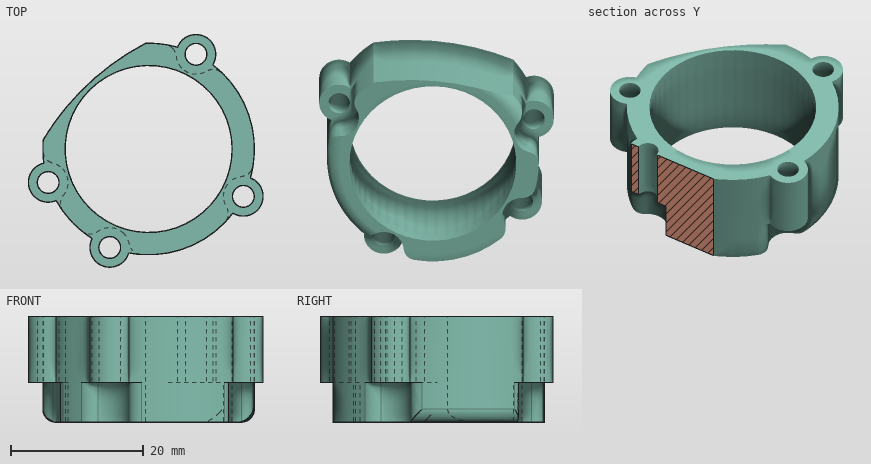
import cadquery as cq
import math

HEIGHT = 16.0
RING_RADIUS = 16.0
BORE_DIAMETER = 25.2

LUG_ANGLES = (63.43, 198.43, 248.43, 333.43)
LUG_RADIUS = 3.0
LUG_HOLE_DIAMETER = 3.25
LUG_BOTTOM = 6.0

RELIEF_RADIUS = 3.0
RELIEF_EDGE_ROUND = 2.0

TRIM_START_ANGLE = 91.6
TRIM_END_ANGLE = 175.1
TRIM_BULGE = 1.48
TRIM_MID_ANGLE = (TRIM_START_ANGLE + TRIM_END_ANGLE) / 2

BOTTOM_ROUND = 2.0
BOTTOM_ROUND_SECTORS = (
    (LUG_ANGLES[3] - 360, LUG_ANGLES[0]),
    (TRIM_MID_ANGLE, LUG_ANGLES[1]),
)

CUT_MARGIN = 1.0


def polar(radius, angle):
    """Point at a radius and an angle in degrees from +X."""
    return radius * math.cos(math.radians(angle)), radius * math.sin(math.radians(angle))


AXIS = [(0, 0)]
LUG_CENTRES = [polar(RING_RADIUS, angle) for angle in LUG_ANGLES]


def cylinders(centres, radius, bottom, top):
    """Upright cylinders between two heights."""
    base = cq.Workplane("XY", origin=(0, 0, bottom))
    return base.pushPoints(centres).circle(radius).extrude(top - bottom)


def relief_cutter():
    """Concave screw clearances whose vertical corners blend into the ring."""
    core = cylinders(AXIS, RING_RADIUS, 0, LUG_BOTTOM)
    rounded = core.cut(cylinders(LUG_CENTRES, RELIEF_RADIUS, 0, LUG_BOTTOM))
    rounded = rounded.edges("|Z").fillet(RELIEF_EDGE_ROUND)
    return core.cut(rounded)


def trim_cutter():
    """Everything outside the shallow trimming arc."""
    start = polar(RING_RADIUS, TRIM_START_ANGLE)
    end = polar(RING_RADIUS, TRIM_END_ANGLE)
    half_span = math.radians(TRIM_END_ANGLE - TRIM_START_ANGLE) / 2
    middle = polar(RING_RADIUS * math.cos(half_span) + TRIM_BULGE, TRIM_MID_ANGLE)
    corner = polar(2 * RING_RADIUS, TRIM_MID_ANGLE)
    outline = cq.Workplane("XY").moveTo(*start).threePointArc(middle, end).lineTo(*corner).close()
    return outline.extrude(HEIGHT)


def bottom_round_cutter(start_angle, end_angle):
    """Material outside the rounded bottom edge over one stretch of the ring."""
    inner = RING_RADIUS - BOTTOM_ROUND
    outer = RING_RADIUS + CUT_MARGIN
    diagonal = BOTTOM_ROUND * math.sqrt(0.5)
    profile = (
        cq.Workplane("XZ")
        .moveTo(inner, 0)
        .threePointArc((inner + diagonal, BOTTOM_ROUND - diagonal), (RING_RADIUS, BOTTOM_ROUND))
        .lineTo(outer, BOTTOM_ROUND)
        .lineTo(outer, -CUT_MARGIN)
        .lineTo(inner, -CUT_MARGIN)
        .close()
    )
    sector = profile.revolve(end_angle - start_angle, (0, 0, 0), (0, -1, 0))
    return sector.rotate((0, 0, 0), (0, 0, 1), end_angle)


body = cylinders(AXIS, RING_RADIUS, 0, HEIGHT)
body = body.cut(relief_cutter()).cut(trim_cutter())
for sector_start, sector_end in BOTTOM_ROUND_SECTORS:
    body = body.cut(bottom_round_cutter(sector_start, sector_end))
body = body.union(cylinders(LUG_CENTRES, LUG_RADIUS, LUG_BOTTOM, HEIGHT))
body = body.cut(cylinders(LUG_CENTRES, LUG_HOLE_DIAMETER / 2, 0, HEIGHT))
result = body.cut(cylinders(AXIS, BORE_DIAMETER / 2, 0, HEIGHT))